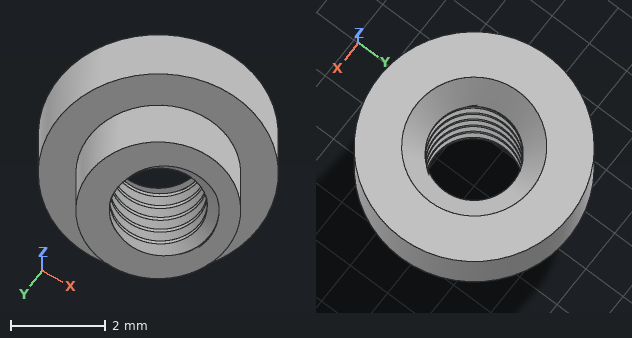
import cadquery as cq
import math

flange_diameter = 5.1
flange_height = 1.5
shank_diameter = 3.5
shank_height = 1.4
total_height = shank_height + flange_height

countersink_depth = 0.5
bore_height = total_height - countersink_depth

thread_minor_diameter = 2.08
thread_major_diameter = 2.58
thread_pitch = 0.45
crest_width = thread_pitch / 4
root_width = thread_pitch / 8
thread_start_angle = 45
groove_drop = 0.06

minor_radius = thread_minor_diameter / 2
major_radius = thread_major_diameter / 2


def make_body():
    shank = cq.Workplane("XY").circle(shank_diameter / 2).extrude(shank_height)
    flange = (
        cq.Workplane("XY")
        .workplane(offset=shank_height)
        .circle(flange_diameter / 2)
        .extrude(flange_height)
    )
    return shank.union(flange)


def make_bore():
    return cq.Workplane("XY").circle(minor_radius).extrude(bore_height)


def make_countersink():
    mouth_radius = minor_radius + countersink_depth
    return (
        cq.Workplane("XZ")
        .moveTo(0, bore_height)
        .lineTo(minor_radius, bore_height)
        .lineTo(mouth_radius, total_height)
        .lineTo(0, total_height)
        .close()
        .revolve(360, (0, 0, 0), (0, 1, 0))
    )


def make_thread_groove():
    """Helical groove outside the bore, trimmed flat at both ends of the bore."""
    turns = math.ceil(bore_height / thread_pitch) + 2
    helix_height = turns * thread_pitch
    helix_top = bore_height - groove_drop + thread_pitch
    helix_base = helix_top - helix_height

    overlap = 0.02
    flank_run = (thread_pitch - crest_width - root_width) / 2
    flank_slope = flank_run / (major_radius - minor_radius)
    half_root = root_width / 2
    half_mouth = half_root + flank_run + overlap * flank_slope

    helix = cq.Wire.makeHelix(thread_pitch, helix_height, minor_radius)
    groove = (
        cq.Workplane("XZ")
        .moveTo(minor_radius - overlap, -half_mouth)
        .lineTo(major_radius, -half_root)
        .lineTo(major_radius, half_root)
        .lineTo(minor_radius - overlap, half_mouth)
        .close()
        .sweep(cq.Workplane(helix), isFrenet=True)
        .rotate((0, 0, 0), (0, 0, 1), thread_start_angle)
        .translate((0, 0, helix_base))
    )
    trim = cq.Workplane("XY").circle(major_radius + overlap).extrude(bore_height)
    return groove.intersect(trim)


result = (
    make_body()
    .cut(make_bore())
    .cut(make_countersink())
    .cut(make_thread_groove())
)